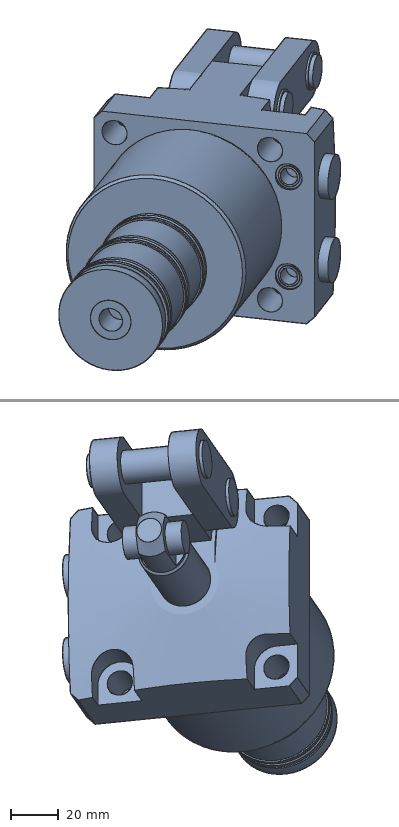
import cadquery as cq
import math


half_height = 43.0
flange_right = 53.5
corner_chamfer = 3.5
head_top = 41.5
crown_radius = 14.9
head_slope = math.tan(math.radians(15))
ramp_half_width = 25.8 / 2

bolt_offset = 34.0
bolt_hole_diameter = 11.0
bolt_seat_radius = 9.5
bolt_seat_y = 20.2

plug_radius = 9.5
plug_y = 14.2
plug_z = 18.8
plug_end = 58.0
seat_port_x = 42.0
seat_port_z = 22.5
seal_recess_radius = 5.8
seal_recess_depth = 1.2
port_lip_radius = 4.6
port_lip_depth = 0.5
port_radius = 3.7
port_depth = 9.3

barrel_radius = 39.3
barrel_end = -55.0
barrel_chamfer = 1.2
relief_radius = 38.5
relief_width = 0.7
stem_radius = 44.0 / 2
stem_end = -121.5
land_radius = 45.3 / 2
land_pair_tops = (-56.0, -81.8, -107.6)
land_pair_width = 5.8
seal_groove_width = 0.7
snap_neck_radius = 21.2
snap_neck_top = land_pair_tops[-1] - land_pair_width
end_land_top = -115.5
end_land_top_radius = 22.3
end_land_full = -117.9
centre_radius = 5.0
centre_mouth_radius = 8.8
centre_mouth_depth = 0.2
centre_depth = 14.0

rod_radius = 22.0 / 2
rod_end = 77.2
eye_radius = 10.0
eye_half_width = 5.8
eye_flat_start = 78.5
eye_end = 100.2
eye_chamfer = 4.6
cross_pin_radius = 7.0
cross_pin_y = 89.0
cross_pin_half_length = 12.8

tongue_half_width = 22.0 / 2
tongue_end = 70.0
tongue_chamfer = 2.8
link_thickness = 12.0
link_half_height = 12.5
link_end_radius = 12.8
link_z = half_height - link_half_height
link_pin_ys = (54.6, 98.0)
link_pin_radius = 14.2 / 2
pin_head_radius = 16.0 / 2
pin_head_thickness = 1.5
clip_thickness = 1.0
pin_tail = 2.8
link_outer = tongue_half_width + link_thickness


def box(x0, x1, y0, y1, z0, z1):
    """Box given by its limits along the three axes."""
    return cq.Workplane("XY").box(x1 - x0, y1 - y0, z1 - z0, centered=False).translate((x0, y0, z0))


def cylinder_y(radius, y0, y1, x=0, z=0):
    """Cylinder parallel to Y."""
    return cq.Workplane(cq.Solid.makeCylinder(radius, y1 - y0, cq.Vector(x, y0, z), cq.Vector(0, 1, 0)))


def cylinder_x(radius, x0, x1, y, z):
    """Cylinder parallel to X."""
    return cq.Workplane(cq.Solid.makeCylinder(radius, x1 - x0, cq.Vector(x0, y, z), cq.Vector(1, 0, 0)))


def turned(points):
    """Solid of revolution about Y from (radius, y) points."""
    return cq.Workplane("XY").polyline(points).close().revolve(360, (0, 0), (0, 1))


def head_height(radius):
    """Y of the head slope at a distance from the axis."""
    return head_top - head_slope * (radius - crown_radius)


def make_head():
    """Flange block topped by a shallow cone, with a flat ramp on the +Z side."""
    block = box(-half_height, flange_right, 0, head_top, -half_height, half_height)
    block = block.edges("|Y").chamfer(corner_chamfer)
    reach = 2 * half_height
    cone = turned([(0, 0), (reach, 0), (reach, head_height(reach)), (crown_radius, head_top), (0, head_top)])
    ramp = (
        cq.Workplane("YZ")
        .polyline([(0, 0), (head_top, 0), (head_top, crown_radius),
                   (head_height(half_height), half_height), (0, half_height)])
        .close()
        .extrude(ramp_half_width, both=True)
    )
    return block.intersect(cone).union(ramp)


def make_tongue():
    """Upright that carries the lower ends of the links."""
    tongue = box(-tongue_half_width, tongue_half_width, 0, tongue_end,
                 half_height - 2 * link_half_height, half_height)
    return tongue.faces(">Y").edges(">Z").chamfer(tongue_chamfer)


def bolt_seat(side_x, side_z):
    """Bolt hole with a spot face that breaks out through the nearer Z side, and on -X seats the -X side."""
    x = side_x * bolt_offset
    top = head_top
    hole = cylinder_y(bolt_hole_diameter / 2, 0, top, x, bolt_offset)
    seat = cylinder_y(bolt_seat_radius, bolt_seat_y, top, x, bolt_offset)
    left = x - bolt_seat_radius
    if side_x < 0:
        left = -half_height
        inner_z = bolt_offset - bolt_seat_radius
        seat = seat.union(box(left, x, bolt_seat_y, top, inner_z, half_height))
    seat = seat.union(box(left, x + bolt_seat_radius, bolt_seat_y, top, bolt_offset, half_height))
    cutter = hole.union(seat)
    if side_z < 0:
        cutter = cutter.mirror("XY")
    return cutter


def seat_port(z):
    """Stepped oil port in the flange seat face."""
    recess = cylinder_y(seal_recess_radius, 0, seal_recess_depth, seat_port_x, z)
    lip = cylinder_y(port_lip_radius, 0, seal_recess_depth, seat_port_x, z)
    lip = lip.cut(cylinder_y(port_lip_radius, 0, port_lip_depth, seat_port_x, z))
    return recess.cut(lip).union(cylinder_y(port_radius, 0, port_depth, seat_port_x, z))


def make_barrel():
    """Round body below the flange, with a relief groove at its root."""
    return turned([
        (0, 0), (relief_radius, 0), (relief_radius, -relief_width), (barrel_radius, -relief_width),
        (barrel_radius, barrel_end + barrel_chamfer), (barrel_radius - barrel_chamfer, barrel_end),
        (0, barrel_end),
    ])


def land_pair(top):
    """Two raised lands with a seal groove between them; the groove walls slope at 45 degrees."""
    bottom = top - land_pair_width
    middle = (top + bottom) / 2
    half_floor = seal_groove_width / 2
    half_mouth = half_floor + land_radius - stem_radius
    return turned([
        (0, top), (land_radius, top), (land_radius, middle + half_mouth), (stem_radius, middle + half_floor),
        (stem_radius, middle - half_floor), (land_radius, middle - half_mouth), (land_radius, bottom),
        (0, bottom),
    ])


def make_stem():
    """Banded stem with a blind centre hole in its end."""
    stem = cylinder_y(stem_radius, snap_neck_top, barrel_end)
    for top in land_pair_tops:
        stem = stem.union(land_pair(top))
    foot = turned([
        (0, snap_neck_top), (snap_neck_radius, snap_neck_top), (snap_neck_radius, end_land_top),
        (end_land_top_radius, end_land_top), (land_radius, end_land_full), (land_radius, stem_end),
        (0, stem_end),
    ])
    mouth = cylinder_y(centre_mouth_radius, stem_end, stem_end + centre_mouth_depth)
    centre = cylinder_y(centre_radius, stem_end, stem_end + centre_depth)
    return stem.union(foot).cut(mouth).cut(centre)


def make_rod():
    """Piston rod with a flattened eye and a cross pin."""
    rod = turned([
        (0, 0), (rod_radius, 0), (rod_radius, rod_end - (rod_radius - eye_radius)),
        (eye_radius, rod_end), (eye_radius, eye_end - eye_chamfer),
        (eye_radius - eye_chamfer, eye_end), (0, eye_end),
    ])
    for side in (-1, 1):
        near, far = sorted((side * eye_half_width, side * 2 * rod_radius))
        rod = rod.cut(box(near, far, eye_flat_start, eye_end, -rod_radius, rod_radius))
    cross_pin = cylinder_x(cross_pin_radius, -cross_pin_half_length, cross_pin_half_length, cross_pin_y, 0)
    return rod.union(cross_pin)


def link_pin(y):
    """Headed pin through both links, with a clip ring on the +X end."""
    pin = cylinder_x(link_pin_radius, -link_outer, link_outer + pin_tail, y, link_z)
    head = cylinder_x(pin_head_radius, -link_outer - pin_head_thickness, -link_outer, y, link_z)
    clip = cylinder_x(pin_head_radius, link_outer, link_outer + clip_thickness, y, link_z)
    return pin.union(head).union(clip)


def link(side):
    """Flat link with rounded ends, lying against one side of the tongue."""
    inner, outer = sorted((side * tongue_half_width, side * link_outer))
    first, last = link_pin_ys
    flat_overrun = math.sqrt(link_end_radius**2 - link_half_height**2)
    bottom = link_z - link_half_height
    top = link_z + link_half_height
    body = (
        cq.Workplane("YZ", origin=(inner, 0, 0))
        .moveTo(first - flat_overrun, bottom)
        .lineTo(last + flat_overrun, bottom)
        .threePointArc((last + link_end_radius, link_z), (last + flat_overrun, top))
        .lineTo(first - flat_overrun, top)
        .threePointArc((first - link_end_radius, link_z), (first - flat_overrun, bottom))
        .close()
        .extrude(outer - inner)
    )
    for y in link_pin_ys:
        body = body.cut(cylinder_x(link_pin_radius, inner, outer, y, link_z))
    return body


def make_housing():
    """Head, barrel, stem and rod as one solid, with all bolt, port and pin holes."""
    housing = make_head().union(make_tongue())
    for side_x in (-1, 1):
        for side_z in (-1, 1):
            housing = housing.cut(bolt_seat(side_x, side_z))
    for side_z in (-1, 1):
        housing = housing.union(cylinder_x(plug_radius, flange_right, plug_end, plug_y, side_z * plug_z))
        housing = housing.cut(seat_port(side_z * seat_port_z))
    housing = housing.cut(cylinder_x(link_pin_radius, -tongue_half_width, tongue_half_width,
                                     link_pin_ys[0], link_z))
    return housing.union(make_barrel()).union(make_stem()).union(make_rod())


housing = make_housing()
links = [link(side) for side in (-1, 1)]
link_pins = [link_pin(y) for y in link_pin_ys]

result = cq.Compound.makeCompound([
    housing.val(),
    *[body.val() for body in links],
    *[body.val() for body in link_pins],
])